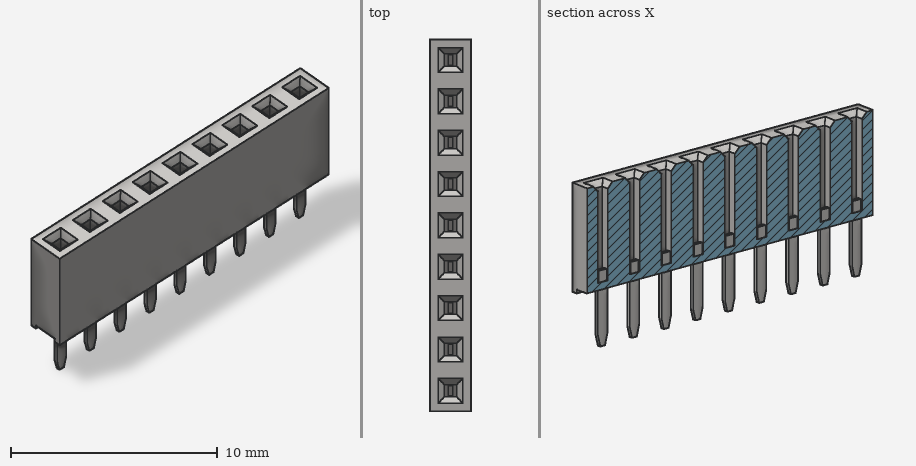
import cadquery as cq


contact_count = 9
pitch = 2.0
housing_width = 2.0
housing_length = contact_count * pitch
housing_height = 5.6

rail_width = 0.33
groove_width = housing_width - 2 * rail_width
groove_depth = 0.2

funnel_opening = 1.2
throat_size = 0.6
funnel_depth = (funnel_opening - throat_size) / 2
socket_depth = 5.0
socket_floor_z = housing_height - socket_depth

pin_thickness = 0.2
pin_width = throat_size
pin_tip_width = 0.3
pin_taper_length = 0.6
pin_projection = 2.7
blade_width = 0.5
blade_height = 0.6
blade_top_z = socket_floor_z + blade_height

contact_positions = [(i - (contact_count - 1) / 2) * pitch for i in range(contact_count)]


def make_housing():
    """Plain block with a groove along its underside."""
    block = cq.Workplane("XY").box(
        housing_width, housing_length, housing_height, centered=(True, True, False)
    )
    groove = cq.Workplane("XY").box(
        groove_width, housing_length, groove_depth, centered=(True, True, False)
    )
    return block.cut(groove)


def make_socket(y):
    """Cutter for one socket: a square funnel leading into a straight square throat."""
    funnel = (
        cq.Workplane("XY", origin=(0, y, housing_height))
        .rect(funnel_opening, funnel_opening)
        .workplane(offset=-funnel_depth)
        .rect(throat_size, throat_size)
        .loft(ruled=True)
    )
    throat = (
        cq.Workplane("XY", origin=(0, y, socket_floor_z))
        .rect(throat_size, throat_size)
        .extrude(socket_depth - funnel_depth)
    )
    return funnel.union(throat)


def make_pin(y):
    """Flat pin with a tapered lower tip, narrowing to a blade above the socket floor."""
    tip_z = -pin_projection
    taper_z = tip_z + pin_taper_length
    return (
        cq.Workplane("YZ", origin=(0, y, 0))
        .moveTo(-blade_width / 2, blade_top_z)
        .lineTo(blade_width / 2, blade_top_z)
        .lineTo(blade_width / 2, socket_floor_z)
        .lineTo(pin_width / 2, socket_floor_z)
        .lineTo(pin_width / 2, taper_z)
        .lineTo(pin_tip_width / 2, tip_z)
        .lineTo(-pin_tip_width / 2, tip_z)
        .lineTo(-pin_width / 2, taper_z)
        .lineTo(-pin_width / 2, socket_floor_z)
        .lineTo(-blade_width / 2, socket_floor_z)
        .close()
        .extrude(pin_thickness / 2, both=True)
    )


result = make_housing()
for contact_y in contact_positions:
    result = result.cut(make_socket(contact_y))
    result = result.union(make_pin(contact_y))